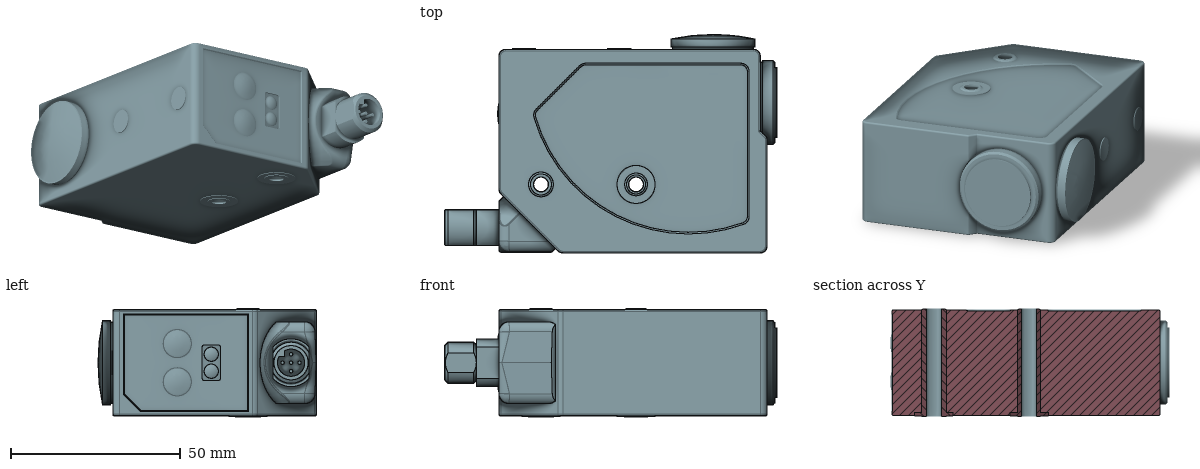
import cadquery as cq
import math


HOUSING_X = 79.0
HOUSING_Y = 60.0
HOUSING_Z = 31.3
TOP = HOUSING_Z / 2
CORNER_CUT = 18.0
STEP = 2.0
STEP_TOP_Y = 36.0
CORNER_R = 2.0
EDGE_R = 0.5

LABEL_RIGHT = 73.7
LABEL_BACK = 55.9
LABEL_ARC_CENTRE = (55.9, 53.0)
LABEL_ARC_R = 47.4
LABEL_ARC_LEFT_Y = 41.35
LABEL_CORNER_R = 2.5
LABEL_DEPTH = 0.3
LABEL_WALL_WIDTH = 0.5

PANEL_Y = (20.1, 56.8)
PANEL_Z = 28.6
PANEL_BEVEL = 4.9
PANEL_DEPTH = 0.3
PANEL_WALL_WIDTH = 0.3
BUTTON_Y = 41.0
BUTTON_PITCH = 11.25
BUTTON_D = 8.3
BUTTON_HEIGHT = 0.7
LAMP_Y = 31.0
LAMP_PITCH = 5.0
LAMP_D = 4.2
LAMP_HEIGHT = 0.6
LAMP_POCKET = (5.4, 10.5)
LAMP_POCKET_DEPTH = 0.4
LAMP_POCKET_R = 0.7

HOLE_PITCH = 28.0
HOLE_XS = (12.4, 12.4 + HOLE_PITCH)
HOLE_Y = 20.2
HOLE_D = 4.3
BUSHING_DIAMETERS = (7.3, 6.7)
BUSHING_LENGTH = 31.9
BUSHING_CHAMFER = 0.55
BUSHING_CHAMFER_HEIGHT = 0.3
FLANGE_D = 11.2
FLANGE_THICKNESS = 1.0
FLANGE_PROUD = 0.15
REAR_BOSS_X = 7.4
REAR_BOSS_D = 6.9
REAR_BOSS_HEIGHT = 0.3
REAR_BOSS_ROOT = 1.0

RIM_D = 24.8
NECK_D = 23.9
NECK_LENGTH = 0.7
WINDOW_Y = 44.3
WINDOW_CHAMFER_START = 80.7
WINDOW_CHAMFER = 0.6
WINDOW_PAD_D = 20.6
WINDOW_END = 81.9
WINDOW_CLEARANCE_D = 25.6
LENS_X = 63.0
LENS_RIM_END = 63.1
LENS_DOME_D = 24.0
LENS_END = 64.37

FOOT_HALF_Z = 12.05
FOOT_HALF_LENGTH = 10.8
FOOT_ARC_START = 4.0
FOOT_RIDGE_Y = 0.15
FOOT_RIDGE_RISE = 0.4
FOOT_EDGE_R = 3.0
FOOT_REAR_EDGE_R = 0.6
FOOT_CORNER_R_MID = 0.9
FOOT_CORNER_R = 3.1
FOOT_CORNER_TAPER_Z = 9.0
PLUG_Y = 7.5
PLUG_END_X = -16.0
PLUG_SHOULDER_X = -6.6
PLUG_COLLAR_D = 14.1
PLUG_NUT_D = 12.1
PLUG_FLATS = 10.6
PLUG_CHAMFER = 1.0
PLUG_BACK_CHAMFER = 0.8
SOCKET_D = 8.0
SOCKET_DEPTH = 8.0
PIN_D = 1.0
PIN_CIRCLE_R = 2.5
PIN_LENGTH = 6.5
KEY_INNER = 1.9


def right_disc(centre, start, end, diameter):
    """Cylinder along X between two X positions, centred at (Y, Z)."""
    return cq.Workplane("YZ", origin=(start, 0, 0)).center(*centre).circle(diameter / 2).extrude(end - start)


def rear_disc(centre, start, end, diameter):
    """Cylinder along Y between two Y positions, centred at (X, Z)."""
    return cq.Workplane("XZ", origin=(0, start, 0)).center(*centre).circle(diameter / 2).extrude(start - end)


def sloped_pad(outline, depth, wall_width):
    """Pad that narrows over its depth; a negative depth runs against the workplane's normal."""
    taper = math.degrees(math.atan2(wall_width, abs(depth)))
    return outline.extrude(depth, taper=taper, combine=False)


def dome(base_d, height, sunk):
    """Spherical cap on the XY plane, with a short cylinder below it."""
    r = base_d / 2
    sphere_r = (r**2 + height**2) / (2 * height)
    half_angle = math.asin(r / sphere_r) / 2
    middle = (sphere_r * math.sin(half_angle), height - sphere_r * (1 - math.cos(half_angle)))
    return (
        cq.Workplane("XZ")
        .moveTo(0, -sunk)
        .lineTo(r, -sunk)
        .lineTo(r, 0)
        .threePointArc(middle, (0, height))
        .close()
        .revolve(360, (0, 0), (0, 1))
    )


def housing_block():
    right_upper = HOUSING_X - STEP
    outline = [
        (CORNER_CUT, 0),
        (HOUSING_X, 0),
        (HOUSING_X, STEP_TOP_Y - STEP),
        (right_upper, STEP_TOP_Y),
        (right_upper, HOUSING_Y),
        (0, HOUSING_Y),
        (0, CORNER_CUT),
    ]
    block = cq.Workplane("XY").workplane(offset=-TOP).polyline(outline).close().extrude(HOUSING_Z)
    step_corners = outline[2:4]
    for x, y in outline:
        if (x, y) in step_corners:
            continue
        block = block.edges(cq.selectors.NearestToPointSelector((x, y, 0))).fillet(CORNER_R)
    return block.faces("|Z").edges().fillet(EDGE_R)


def label_recess():
    """Cutter with sloped walls, leaving a round island about the second bushing."""
    cx, cy = LABEL_ARC_CENTRE

    def arc_y(x):
        return cy - math.sqrt(LABEL_ARC_R**2 - (x - cx) ** 2)

    arc_left_x = cx - math.sqrt(LABEL_ARC_R**2 - (cy - LABEL_ARC_LEFT_Y) ** 2)
    bevel_back_x = arc_left_x + LABEL_BACK - LABEL_ARC_LEFT_Y
    arc_mid_x = (arc_left_x + LABEL_RIGHT) / 2
    blank = (
        cq.Workplane("XY")
        .moveTo(arc_left_x, LABEL_ARC_LEFT_Y)
        .threePointArc((arc_mid_x, arc_y(arc_mid_x)), (LABEL_RIGHT, arc_y(LABEL_RIGHT)))
        .lineTo(LABEL_RIGHT, LABEL_BACK)
        .lineTo(bevel_back_x, LABEL_BACK)
        .close()
        .extrude(LABEL_DEPTH)
        .edges("|Z")
        .fillet(LABEL_CORNER_R)
    )
    pad = sloped_pad(blank.faces("<Z").wires().toPending(), -LABEL_DEPTH, LABEL_WALL_WIDTH)
    pad = pad.translate((0, 0, TOP))
    island = cq.Workplane("XY").center(HOLE_XS[1], HOLE_Y).circle(FLANGE_D / 2).extrude(HOUSING_Z)
    return pad.cut(island)


def panel_recess():
    y0, y1 = PANEL_Y
    half = PANEL_Z / 2
    outline = [(y0, -half), (y1 - PANEL_BEVEL, -half), (y1, -half + PANEL_BEVEL), (y1, half), (y0, half)]
    return sloped_pad(cq.Workplane("YZ").polyline(outline).close(), PANEL_DEPTH, PANEL_WALL_WIDTH)


def lamp_pocket():
    pocket = cq.Workplane("YZ").center(LAMP_Y, 0).rect(*LAMP_POCKET).extrude(PANEL_DEPTH + LAMP_POCKET_DEPTH)
    return pocket.edges("|X").fillet(LAMP_POCKET_R)


def add_dome_pair(body, y, pitch, diameter, height, floor_x):
    """Adds two domes, one above the other, to a floor that faces -X."""
    cap = dome(diameter, height, PANEL_DEPTH).rotate((0, 0, 0), (0, 1, 0), -90)
    for z in (-pitch / 2, pitch / 2):
        body = body.union(cap.translate((floor_x, y, z)))
    return body


def housing():
    body = housing_block()
    body = body.cut(label_recess())
    body = body.cut(panel_recess()).cut(lamp_pocket())
    body = add_dome_pair(body, BUTTON_Y, BUTTON_PITCH, BUTTON_D, BUTTON_HEIGHT, PANEL_DEPTH)
    lamp_floor = PANEL_DEPTH + LAMP_POCKET_DEPTH
    body = add_dome_pair(body, LAMP_Y, LAMP_PITCH, LAMP_D, LAMP_HEIGHT, lamp_floor)
    for boss_x in (REAR_BOSS_X, REAR_BOSS_X + HOLE_PITCH):
        boss_root = HOUSING_Y - REAR_BOSS_ROOT
        boss_end = HOUSING_Y + REAR_BOSS_HEIGHT
        body = body.union(rear_disc((boss_x, 0), boss_root, boss_end, REAR_BOSS_D))
    clearance = right_disc((WINDOW_Y, 0), HOUSING_X - STEP, HOUSING_X, WINDOW_CLEARANCE_D)
    body = body.cut(clearance)
    for x, diameter in zip(HOLE_XS, BUSHING_DIAMETERS):
        body = body.cut(bushing_blank(x, diameter))
    return body


def bushing_blank(x, diameter):
    """Bushing without its bore: a sleeve, chamfered on top, with a flange at the bottom."""
    half = BUSHING_LENGTH / 2
    sleeve = cq.Workplane("XY").workplane(offset=-half).circle(diameter / 2).extrude(BUSHING_LENGTH)
    sleeve = sleeve.faces(">Z").edges().chamfer(BUSHING_CHAMFER_HEIGHT, BUSHING_CHAMFER)
    flange_bottom = -TOP - FLANGE_PROUD
    flange = cq.Workplane("XY").workplane(offset=flange_bottom).circle(FLANGE_D / 2).extrude(FLANGE_THICKNESS)
    return sleeve.union(flange).translate((x, HOLE_Y, 0))


def bushing(x, diameter):
    bore = cq.Workplane("XY").center(x, HOLE_Y).circle(HOLE_D / 2).extrude(BUSHING_LENGTH, both=True)
    return bushing_blank(x, diameter).cut(bore)


def window():
    seat_x = HOUSING_X - STEP
    centre = (WINDOW_Y, 0)
    rim_end = WINDOW_CHAMFER_START + WINDOW_CHAMFER
    neck = right_disc(centre, seat_x, seat_x + NECK_LENGTH, NECK_D)
    rim = right_disc(centre, seat_x + NECK_LENGTH, rim_end, RIM_D).faces(">X").edges().chamfer(WINDOW_CHAMFER)
    pad = right_disc(centre, rim_end, WINDOW_END, WINDOW_PAD_D)
    return neck.union(rim).union(pad)


def lens():
    centre = (LENS_X, 0)
    neck = rear_disc(centre, HOUSING_Y, HOUSING_Y + NECK_LENGTH, NECK_D)
    rim = rear_disc(centre, HOUSING_Y + NECK_LENGTH, LENS_RIM_END, RIM_D)
    cap = dome(LENS_DOME_D, LENS_END - LENS_RIM_END, NECK_LENGTH)
    cap = cap.rotate((0, 0, 0), (1, 0, 0), -90).translate((LENS_X, LENS_RIM_END, 0))
    return neck.union(rim).union(cap)


def foot_front_y(z):
    """Y of the foot's front face, two planes that meet in a shallow ridge at mid height."""
    return FOOT_RIDGE_Y + FOOT_RIDGE_RISE * abs(z) / FOOT_HALF_Z


def foot_corner_section(z, radius):
    """What a rounding leaves over in the front left corner at height z."""
    front = foot_front_y(z)
    on_arc = radius * (1 - math.sqrt(0.5))
    return (
        cq.Workplane("XY", origin=(0, 0, z))
        .moveTo(0, front)
        .lineTo(radius, front)
        .threePointArc((on_arc, front + on_arc), (0, front + radius))
        .close()
        .val()
    )


def foot_corner_cutter(side):
    """Rounds the front left corner of one half; the radius grows away from mid height."""
    sections = [
        foot_corner_section(0, FOOT_CORNER_R_MID),
        foot_corner_section(side * FOOT_CORNER_TAPER_Z, FOOT_CORNER_R),
        foot_corner_section(side * FOOT_HALF_Z, FOOT_CORNER_R),
    ]
    return cq.Workplane(cq.Solid.makeLoft(sections, True))


def connector_foot():
    """Block standing square on the 45 degree face, trimmed by a left and a ridged front face."""
    face = cq.Plane(origin=(CORNER_CUT / 2, CORNER_CUT / 2, 0), xDir=(-1, 1, 0), normal=(-1, -1, 0))
    foot = (
        cq.Workplane(face)
        .moveTo(-FOOT_HALF_LENGTH, -FOOT_HALF_Z)
        .lineTo(FOOT_ARC_START, -FOOT_HALF_Z)
        .threePointArc((FOOT_HALF_LENGTH, 0), (FOOT_ARC_START, FOOT_HALF_Z))
        .lineTo(-FOOT_HALF_LENGTH, FOOT_HALF_Z)
        .close()
        .extrude(CORNER_CUT)
    )
    end_y = foot_front_y(FOOT_HALF_Z)
    envelope = (
        cq.Workplane("YZ")
        .moveTo(CORNER_CUT, -FOOT_HALF_Z)
        .lineTo(end_y, -FOOT_HALF_Z)
        .lineTo(FOOT_RIDGE_Y, 0)
        .lineTo(end_y, FOOT_HALF_Z)
        .lineTo(CORNER_CUT, FOOT_HALF_Z)
        .close()
        .extrude(CORNER_CUT)
    )
    foot = foot.intersect(envelope)
    for side in (-1, 1):
        foot = foot.cut(foot_corner_cutter(side))
    for side in (-1, 1):
        front_edge = (CORNER_CUT / 2, end_y, side * FOOT_HALF_Z)
        foot = foot.edges(cq.selectors.NearestToPointSelector(front_edge)).fillet(FOOT_EDGE_R)
    return foot.faces("<X").edges(">Y").fillet(FOOT_REAR_EDGE_R)


def plug():
    centre = (PLUG_Y, 0)
    collar = right_disc(centre, PLUG_SHOULDER_X, 0, PLUG_COLLAR_D)
    nut = right_disc(centre, PLUG_END_X, PLUG_SHOULDER_X, PLUG_NUT_D)
    nut = nut.faces("<X").edges().chamfer(PLUG_CHAMFER).faces(">X").edges().chamfer(PLUG_BACK_CHAMFER)
    body = nut.union(collar)
    flats = cq.Workplane("XY").box(-2 * PLUG_END_X, PLUG_FLATS, HOUSING_Z).translate((0, PLUG_Y, 0))
    body = body.intersect(flats)
    socket_floor = PLUG_END_X + SOCKET_DEPTH
    socket = right_disc(centre, PLUG_END_X, socket_floor, SOCKET_D)
    key = (
        cq.Workplane("XY")
        .box(SOCKET_DEPTH, SOCKET_D, SOCKET_D, centered=False)
        .translate((PLUG_END_X, PLUG_Y + KEY_INNER, KEY_INNER))
    )
    body = body.cut(socket.cut(key))
    pin_centres = [(0, 0)]
    for offset in (-PIN_CIRCLE_R, PIN_CIRCLE_R):
        pin_centres += [(offset, 0), (0, offset)]
    for y, z in pin_centres:
        body = body.union(right_disc((PLUG_Y + y, z), socket_floor - PIN_LENGTH, socket_floor, PIN_D))
    return body


bushings = [bushing(x, diameter) for x, diameter in zip(HOLE_XS, BUSHING_DIAMETERS)]
bodies = [housing(), *bushings, window(), lens(), connector_foot(), plug()]
result = cq.Compound.makeCompound([body.val() for body in bodies])